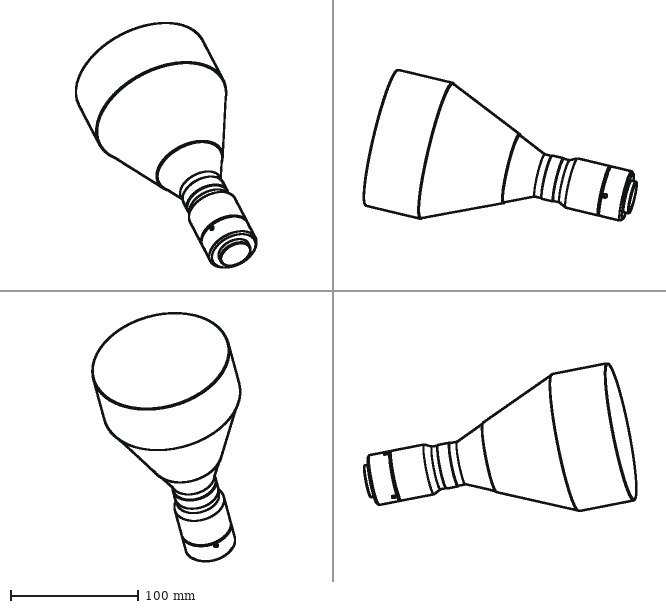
import cadquery as cq
import math

overall_length = 204.5
head_end = 45.2
long_cone_end = 106.0
short_cone_end = 127.5
neck_start = 128.8
ring_start = 135.0
ring_end = 143.9
flare_start = 149.0
barrel_start = 154.7
groove_start = 181.0
groove_end = 182.3
barrel_end = 200.3

head_radius = 55.0
long_cone_end_radius = 28.0
short_cone_start_radius = 27.2
short_cone_end_radius = 17.5
neck_radius = 17.2
ring_radius = 17.5
barrel_radius = 20.0
groove_radius = 16.8
mount_radius = 12.9

head_chamfer = 0.6
cone_step_length = 0.6
ring_chamfer = ring_radius - neck_radius
barrel_chamfer = 1.6
mount_chamfer = 0.6

screw_count = 3
screw_diameter = 2.9
screw_depth = 2.0
screw_station = 185.0
first_screw_angle = 52.0


def make_body():
    """Revolve the stepped lens profile about the X axis."""
    profile = [
        (0, 0),
        (0, head_radius - head_chamfer),
        (head_chamfer, head_radius),
        (head_end - head_chamfer, head_radius),
        (head_end, head_radius - head_chamfer),
        (long_cone_end - cone_step_length, long_cone_end_radius),
        (long_cone_end, short_cone_start_radius),
        (short_cone_end, short_cone_end_radius),
        (neck_start, neck_radius),
        (ring_start - ring_chamfer, neck_radius),
        (ring_start, ring_radius),
        (ring_end, ring_radius),
        (ring_end + ring_chamfer, neck_radius),
        (flare_start, neck_radius),
        (barrel_start, barrel_radius),
        (groove_start, barrel_radius),
        (groove_start, groove_radius),
        (groove_end, groove_radius),
        (groove_end, barrel_radius),
        (barrel_end - barrel_chamfer, barrel_radius),
        (barrel_end, barrel_radius - barrel_chamfer),
        (barrel_end, mount_radius),
        (overall_length - mount_chamfer, mount_radius),
        (overall_length, mount_radius - mount_chamfer),
        (overall_length, 0),
    ]
    return cq.Workplane("XY").polyline(profile).close().revolve(360, (0, 0, 0), (1, 0, 0))


def make_screw_hole(angle_degrees):
    """Radial cutter that enters the collar at the given angle."""
    angle = math.radians(angle_degrees)
    outward = cq.Vector(0, -math.cos(angle), math.sin(angle))
    floor_center = cq.Vector(screw_station, 0, 0) + outward * (barrel_radius - screw_depth)
    cutter_length = 2 * screw_depth
    return cq.Solid.makeCylinder(screw_diameter / 2, cutter_length, floor_center, outward)


result = make_body()
for index in range(screw_count):
    result = result.cut(make_screw_hole(first_screw_angle + index * 360 / screw_count))